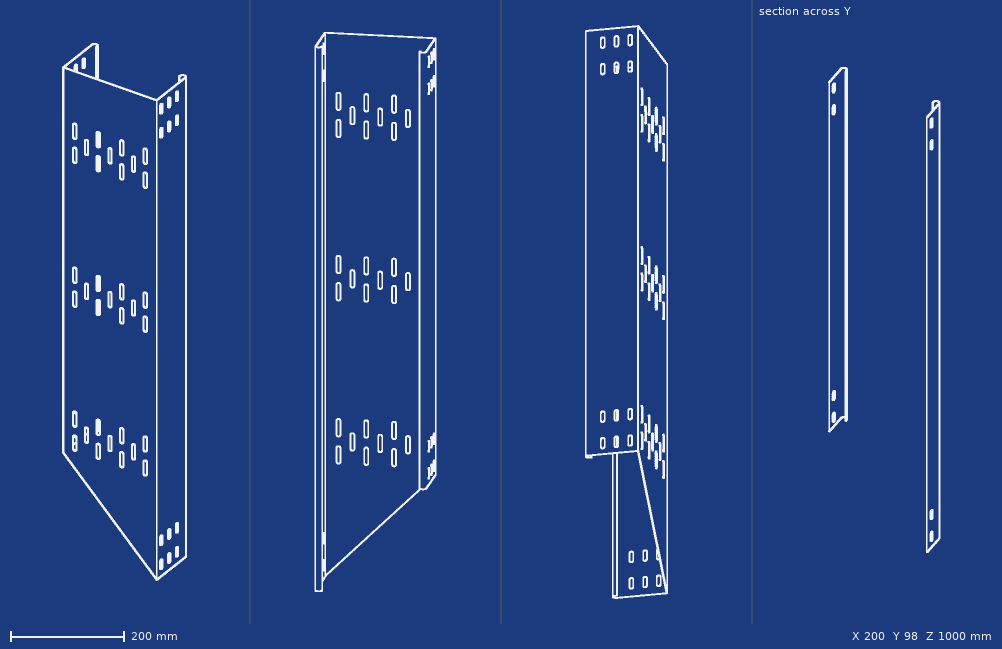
import cadquery as cq
import math

width = 200.0
depth = 98.0
length = 1000.0
sheet = 1.5
mitre_rise = 197.0

rim_width = 12.5
rim_drop = 9.0
rim_radius = 6.0

base_slot_length = 32.0
base_slot_width = 7.0
base_slot_pitch = 50.0
group_spacing = 300.0
group_count = 3
top_group_offset = 150.0

wall_slot_length = 20.0
wall_slot_width = 7.0
wall_slot_pitch = 25.0
wall_slot_columns = 3
wall_slot_rows = 2
first_wall_slot = 15.5
wall_slot_row_spacing = 50.0
end_slot_offset = 25.0
mitre_slot_offset = 21.0

half_width = width / 2
base_y = -depth / 2
rim_y = depth / 2
bottom_z = -length / 2
top_z = length / 2
short_wall_z = bottom_z + mitre_rise


def make_base():
    """Flat base with its lower end cut on the mitre."""
    outline = [
        (-half_width, top_z),
        (half_width, top_z),
        (half_width, bottom_z),
        (-half_width, short_wall_z),
    ]
    return cq.Workplane("XZ", origin=(0, base_y, 0)).polyline(outline).close().extrude(-sheet)


def make_wall(side, end_z):
    """Side wall with its rolled rim turned inwards; side is -1 or +1 along X."""
    inner_radius = rim_radius - sheet
    tip = half_width - rim_width
    bend_y = rim_y - rim_radius
    tip_y = rim_y - rim_drop
    wall_bend_x = half_width - rim_radius
    tip_bend_x = tip + rim_radius
    diagonal = math.sqrt(0.5)

    def arc_middle(bend_x, direction, radius):
        """Middle of a quarter bend; direction is +1 towards the wall, -1 towards the tip."""
        return (side * (bend_x + direction * radius * diagonal), bend_y + radius * diagonal)

    return (
        cq.Workplane("XY", origin=(0, 0, end_z))
        .moveTo(side * half_width, base_y)
        .lineTo(side * half_width, bend_y)
        .threePointArc(arc_middle(wall_bend_x, 1, rim_radius), (side * wall_bend_x, rim_y))
        .lineTo(side * tip_bend_x, rim_y)
        .threePointArc(arc_middle(tip_bend_x, -1, rim_radius), (side * tip, bend_y))
        .lineTo(side * tip, tip_y)
        .lineTo(side * (tip + sheet), tip_y)
        .lineTo(side * (tip + sheet), bend_y)
        .threePointArc(arc_middle(tip_bend_x, -1, inner_radius), (side * tip_bend_x, rim_y - sheet))
        .lineTo(side * wall_bend_x, rim_y - sheet)
        .threePointArc(
            arc_middle(wall_bend_x, 1, inner_radius), (side * (half_width - sheet), bend_y)
        )
        .lineTo(side * (half_width - sheet), base_y)
        .close()
        .extrude(top_z - end_z)
    )


def base_slots():
    """Cutters for the groups of staggered slots in the base."""
    half_pitch = base_slot_pitch / 2
    points = []
    for group in range(group_count):
        centre_z = top_z - top_group_offset - group * group_spacing
        for column in (-1, 0, 1):
            points.append((column * base_slot_pitch, centre_z))
        for column in (-3, -1, 1, 3):
            for row in (-1, 1):
                points.append((column * half_pitch, centre_z + row * half_pitch))
    return (
        cq.Workplane("XZ", origin=(0, base_y, 0))
        .pushPoints(points)
        .slot2D(base_slot_length, base_slot_width, 90)
        .extrude(sheet, both=True)
    )


def wall_slots(side, end_z, lower_offset):
    """Cutters for the slots near both ends of one side wall."""
    points = []
    for column in range(wall_slot_columns):
        y = base_y + first_wall_slot + column * wall_slot_pitch
        for row in range(wall_slot_rows):
            row_step = row * wall_slot_row_spacing
            points.append((y, top_z - end_slot_offset - row_step))
            points.append((y, end_z + lower_offset + row_step))
    return (
        cq.Workplane("YZ", origin=(side * half_width, 0, 0))
        .pushPoints(points)
        .slot2D(wall_slot_length, wall_slot_width, 90)
        .extrude(2 * sheet, both=True)
    )


def slotted_wall(side, end_z, lower_offset):
    """Side wall with its slots cut."""
    return make_wall(side, end_z).cut(wall_slots(side, end_z, lower_offset))


base = make_base().cut(base_slots())
short_wall = slotted_wall(-1, short_wall_z, mitre_slot_offset)
long_wall = slotted_wall(1, bottom_z, end_slot_offset)
result = base.union(short_wall).union(long_wall)